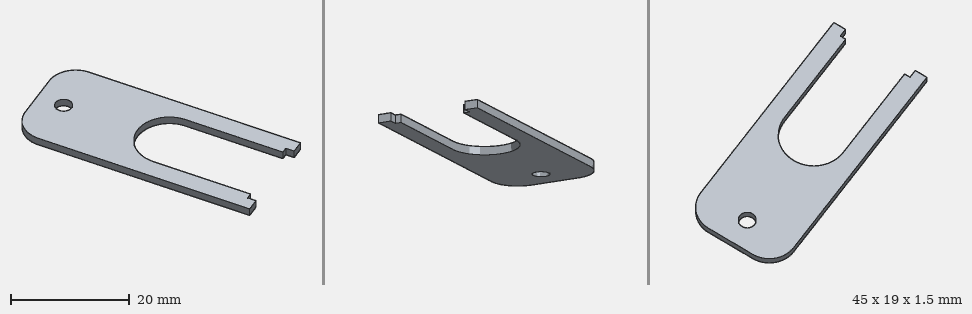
import cadquery as cq

length = 45.0
width = 19.0
thickness = 1.5
corner_radius = 5.0

hole_diameter = 3.0
hole_x = corner_radius

slot_width = 12.0
slot_bottom_x = 19.0
slot_radius = slot_width / 2
slot_center_x = slot_bottom_x + slot_radius

tip_notch_length = 1.58
tip_notch_width = 14.2


def open_end_cut(start_x, cut_width):
    """Rectangular cutter running from start_x to the +X end, centred on Y."""
    cut_length = length - start_x
    return (
        cq.Workplane("XY")
        .center(start_x + cut_length / 2, 0)
        .rect(cut_length, cut_width)
        .extrude(thickness)
    )


def round_cut(center_x, diameter):
    """Cylindrical cutter through the plate, on the centreline."""
    return cq.Workplane("XY").center(center_x, 0).circle(diameter / 2).extrude(thickness)


plate = (
    cq.Workplane("XY")
    .center(length / 2, 0)
    .rect(length, width)
    .extrude(thickness)
    .edges("|Z and <X")
    .fillet(corner_radius)
)

result = (
    plate
    .cut(round_cut(hole_x, hole_diameter))
    .cut(round_cut(slot_center_x, slot_width))
    .cut(open_end_cut(slot_center_x, slot_width))
    .cut(open_end_cut(length - tip_notch_length, tip_notch_width))
)